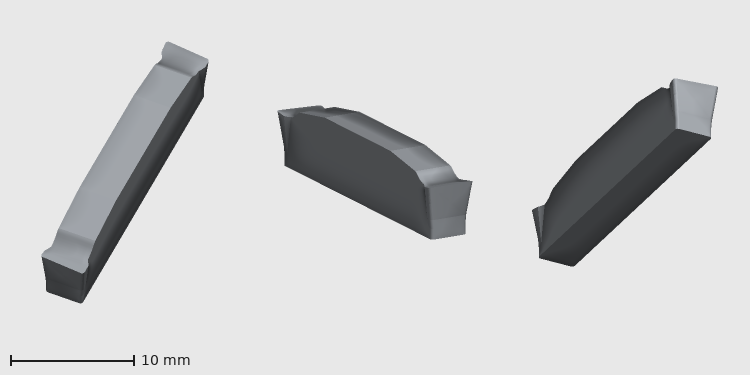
import cadquery as cq

height = 5.8
body_width = 3.28
body_length = 24.2
corner_radius = 0.25

crown_half_length = 5.37
ramp_end_y = 9.45
ramp_end_z = 5.15
hollow_end_y = 9.8
hollow_end_z = 4.92
land_start_y = 11.53
land_start_z = 4.4
tip_z = 4.56

sharp_tip_y = 12.64
edge_skew = 0.35
shoulder_y = 11.5
flank_base_z = 1.13
flank_lean = 0.094
flank_relief = 0.06
flare_run = 2.0
neck_depth = 0.5
front_break_z = 1.66
head_root_z = 0.63

half_body_length = body_length / 2


def top_envelope():
    """Prism with the top profile, wide enough to span the heads."""
    half_profile = (
        cq.Workplane("YZ")
        .moveTo(0, 0)
        .lineTo(-sharp_tip_y, 0)
        .lineTo(-sharp_tip_y, tip_z)
        .lineTo(-land_start_y, land_start_z)
        .tangentArcPoint((-hollow_end_y, hollow_end_z), relative=False)
        .tangentArcPoint((-ramp_end_y, ramp_end_z), relative=False)
        .lineTo(-crown_half_length, height)
        .lineTo(0, height)
        .close()
        .extrude(body_width, both=True)
    )
    return half_profile.union(half_profile.mirror("XZ")).clean()


def head_section(z, front_y, skew):
    """Closed outline of the -Y head at one height, with rounded front corners.

    The plan angles of the flanks and flares are the same at every height, so
    these sides come out as flat faces.
    """
    shoulder_x = body_width / 2 + flank_lean * (z - flank_base_z)
    neck_x = shoulder_x - neck_depth
    neck_y = shoulder_y - neck_depth * flare_run
    short_y = front_y - skew
    points = [
        (-neck_x, -neck_y),
        (-shoulder_x, -shoulder_y),
        (-shoulder_x - flank_relief * (short_y - shoulder_y), -short_y),
        (shoulder_x + flank_relief * (front_y - shoulder_y), -front_y),
        (shoulder_x, -shoulder_y),
        (neck_x, -neck_y),
    ]
    outline = cq.Wire.makePolygon([cq.Vector(x, y, z) for x, y in points], close=True)
    front_corners = [v for v in outline.Vertices() if v.Y < -shoulder_y - corner_radius]
    return outline.fillet2D(corner_radius, front_corners)


def cutting_head():
    """Head at the -Y end: leaning flanks, twisted front face and flared neck."""
    root = head_section(head_root_z, half_body_length, 0)
    front_break = head_section(front_break_z, half_body_length, 0)
    tip = head_section(tip_z, sharp_tip_y, edge_skew)
    return cq.Workplane(obj=cq.Solid.makeLoft([root, front_break, tip], True))


body = (
    cq.Workplane("XY")
    .box(body_width, body_length, height, centered=(True, True, False))
    .edges("|Z")
    .fillet(corner_radius)
)
head = cutting_head()
opposite_head = head.rotate((0, 0, 0), (0, 0, 1), 180)
result = body.union(head).union(opposite_head).intersect(top_envelope()).clean()